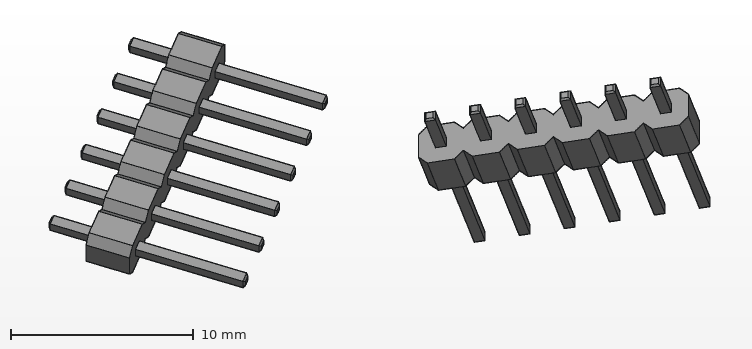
import cadquery as cq

PIN_COUNT = 6
ROW_LENGTH = 15.24
PITCH = ROW_LENGTH / PIN_COUNT

HOUSING_SIDE = PITCH
HOUSING_CHAMFER = 0.5

PIN_LENGTH = 11.45
PIN_SIDE = 0.61
PIN_TIP_CHAMFER = 0.1
SHORT_TAIL = HOUSING_SIDE
PIN_START = -HOUSING_SIDE / 2 - SHORT_TAIL


def make_housing():
    """One eight-sided housing block centred on the origin."""
    block = cq.Workplane("XY").box(HOUSING_SIDE, PITCH, HOUSING_SIDE)
    return block.edges("|X").chamfer(HOUSING_CHAMFER)


def make_pin():
    """One square pin along X with bevelled tips."""
    pin = (
        cq.Workplane("YZ", origin=(PIN_START, 0, 0))
        .rect(PIN_SIDE, PIN_SIDE)
        .extrude(PIN_LENGTH)
    )
    return pin.faces("<X or >X").edges().chamfer(PIN_TIP_CHAMFER)


position = make_housing().union(make_pin())
first_y = -PITCH * (PIN_COUNT - 1) / 2

result = position.translate((0, first_y, 0))
for index in range(1, PIN_COUNT):
    result = result.union(position.translate((0, first_y + index * PITCH, 0)))